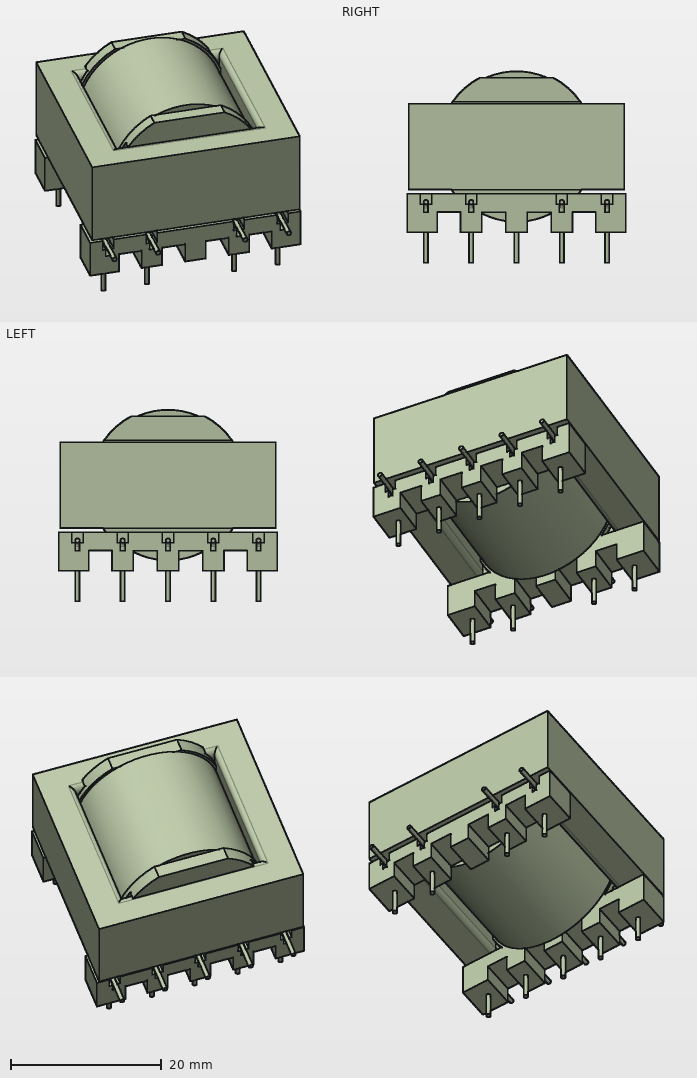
import cadquery as cq
import math


CORE_X = 27.35
CORE_Y = 28.6
CORE_Z = 11.4
WINDOW_X = 18.75
WINDOW_Y = 19.4
SIDE_RIM_RADIUS = 0.75
END_RIM_RADIUS = 1.0

COIL_DIAMETER = 19.99
COIL_LENGTH = 17.3
FLANGE_RADIUS = 10.35
FLANGE_TOP_Z = 9.15
LIP_BOTTOM_Z = 5.95
LIP_OUTER_X = 10.5

RAIL_OUTER_X = 13.4
RAIL_Y = 29.0
RAIL_TOP_Z = -6.24
RAIL_BOTTOM_Z = -11.38
NOTCH_TOP_Z = -8.69
LEG_WIDTH = 2.85
END_LEG_WIDTH = 4.0

PIN_DIAMETER = 0.6
PIN_PITCH = 6.0
LEFT_PIN_ROWS = (-2, -1, 0, 1, 2)
RIGHT_PIN_ROWS = (-2, -1, 1, 2)
PIN_TIP_X = 16.5
PIN_DOWN_X = 11.0
PIN_SIDE_Z = -7.37
PIN_BOTTOM_Z = -15.415
PIN_BEND_RADIUS = 0.75

WIRE_SLOT_WIDTH = 1.5
WIRE_SLOT_BOTTOM_Z = -7.65
PIN_SLOT_WIDTH = 0.64
PIN_SLOT_BOTTOM_Z = NOTCH_TOP_Z
SLOT_END_X = 10.85

RAIL_INNER_X = COIL_LENGTH / 2


def block(x_range, y_range, z_range):
    """Box spanning the given (low, high) ranges."""
    low, high = zip(x_range, y_range, z_range)
    size = [b - a for a, b in zip(low, high)]
    return cq.Workplane("XY").box(*size, centered=False).translate(low)


def centred(width, middle=0.0):
    """Range of the given width about a middle value."""
    return middle - width / 2, middle + width / 2


def flared_slot(plane, width, rim_radius):
    """Through slot seen end-on in the plane, with rounded rims widening it at top and bottom."""
    wall = width / 2
    rim = wall + rim_radius
    top = CORE_Z / 2
    bend = top - rim_radius
    mid_rim = rim - rim_radius * math.cos(math.pi / 4)
    mid_bend = bend + rim_radius * math.sin(math.pi / 4)
    outline = (
        cq.Workplane(plane)
        .moveTo(-rim, top)
        .lineTo(rim, top)
        .threePointArc((mid_rim, mid_bend), (wall, bend))
        .lineTo(wall, -bend)
        .threePointArc((mid_rim, -mid_bend), (rim, -top))
        .lineTo(-rim, -top)
        .threePointArc((-mid_rim, -mid_bend), (-wall, -bend))
        .lineTo(-wall, bend)
        .threePointArc((-mid_rim, mid_bend), (-rim, top))
        .close()
    )
    return outline.extrude(CORE_Y / 2, both=True)


def make_core():
    """Rectangular frame; the window's rounded rims meet in mitres at its corners."""
    end_walls = flared_slot("XZ", WINDOW_X, END_RIM_RADIUS)
    side_walls = flared_slot("YZ", WINDOW_Y, SIDE_RIM_RADIUS)
    window = end_walls.intersect(side_walls)
    return cq.Workplane("XY").box(CORE_X, CORE_Y, CORE_Z).cut(window)


def make_coil():
    """Round winding along X."""
    return cq.Workplane("YZ").circle(COIL_DIAMETER / 2).extrude(COIL_LENGTH / 2, both=True)


def make_flanges():
    """Round bobbin end plates, cut flat on top, with a lip that overhangs the core."""
    disc = cq.Workplane("YZ").circle(FLANGE_RADIUS).extrude(LIP_OUTER_X, both=True)
    full_y = centred(2 * FLANGE_RADIUS)
    plate = block(centred(WINDOW_X), full_y, (NOTCH_TOP_Z, FLANGE_TOP_Z))
    lips = block(centred(2 * LIP_OUTER_X), full_y, (LIP_BOTTOM_Z, FLANGE_TOP_Z))
    between = block(centred(COIL_LENGTH), full_y, centred(2 * FLANGE_RADIUS))
    return disc.intersect(plate.union(lips)).cut(between)


def make_rail(pin_rows):
    """Terminal rail on the +X side, with legs below and a slot for every pin."""
    rail_x = (RAIL_INNER_X, RAIL_OUTER_X)
    rail = block(rail_x, centred(RAIL_Y), (RAIL_BOTTOM_Z, RAIL_TOP_Z))

    notch_starts = (LEG_WIDTH / 2, PIN_PITCH + LEG_WIDTH / 2)
    notch_ends = (PIN_PITCH - LEG_WIDTH / 2, RAIL_Y / 2 - END_LEG_WIDTH)
    for start, end in zip(notch_starts, notch_ends):
        for y_range in ((start, end), (-end, -start)):
            rail = rail.cut(block(rail_x, y_range, (RAIL_BOTTOM_Z, NOTCH_TOP_Z)))

    slot_x = (SLOT_END_X, RAIL_OUTER_X)
    for row in pin_rows:
        pin_y = row * PIN_PITCH
        wire_slot = block(slot_x, centred(WIRE_SLOT_WIDTH, pin_y), (WIRE_SLOT_BOTTOM_Z, RAIL_TOP_Z))
        pin_slot = block(slot_x, centred(PIN_SLOT_WIDTH, pin_y), (PIN_SLOT_BOTTOM_Z, RAIL_TOP_Z))
        rail = rail.cut(wire_slot).cut(pin_slot)
    return rail


def make_pin(pin_y):
    """Bent pin on the +X side: inward along X, round a bend, then down."""
    path = (
        cq.Workplane("XZ", origin=(0, pin_y, 0))
        .moveTo(PIN_TIP_X, PIN_SIDE_Z)
        .lineTo(PIN_DOWN_X + PIN_BEND_RADIUS, PIN_SIDE_Z)
        .tangentArcPoint((PIN_DOWN_X, PIN_SIDE_Z - PIN_BEND_RADIUS), relative=False)
        .lineTo(PIN_DOWN_X, PIN_BOTTOM_Z)
    )
    start = cq.Workplane("YZ", origin=(PIN_TIP_X, pin_y, PIN_SIDE_Z))
    return start.circle(PIN_DIAMETER / 2).sweep(path)


def make_terminals(pin_rows):
    """Rail with its pins, on the +X side."""
    terminals = make_rail(pin_rows)
    for row in pin_rows:
        terminals = terminals.union(make_pin(row * PIN_PITCH))
    return terminals


left_terminals = make_terminals(LEFT_PIN_ROWS).mirror("YZ")
right_terminals = make_terminals(RIGHT_PIN_ROWS)

result = (
    make_core()
    .union(make_coil())
    .union(make_flanges())
    .union(left_terminals)
    .union(right_terminals)
)